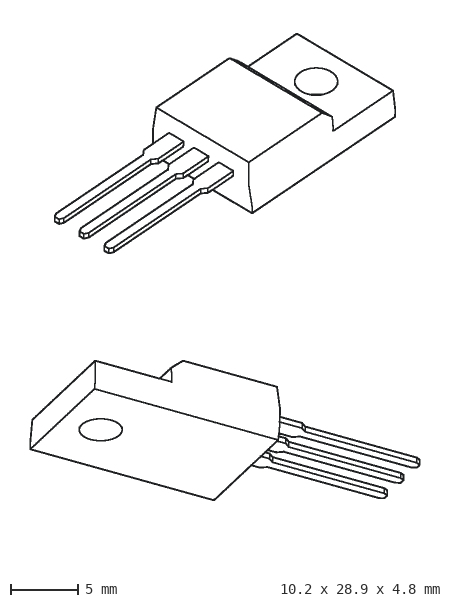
import cadquery as cq

total_length = 28.85
body_length = 15.85
body_height = 4.8

base_width = 10.05
max_width = 10.15
top_width = 9.45
widest_height = 0.7

tab_height = 2.55
tab_length = 6.64
back_draft = 0.12
chamfer_length = 1.05
chamfer_height = 0.95
parting_height = 2.77
front_base_inset = 0.23
front_top_inset = 0.17

hole_diameter = 3.2
hole_from_back = 3.25

lead_count = 3
lead_pitch = 2.55
lead_thickness = 0.45
shoulder_width = 1.5
shoulder_length = 2.75
neck_length = 0.43
lead_width = 0.8
tip_width = 0.45
tip_length = 0.35
lead_embed = 0.87

lead_length = total_length - body_length
step_y = body_length - tab_length


def make_body():
    """Intersect the side profile with the tapered cross-section."""
    side_profile = (
        cq.Workplane("YZ")
        .moveTo(front_base_inset, 0)
        .lineTo(body_length, 0)
        .lineTo(body_length - back_draft, tab_height)
        .lineTo(step_y, tab_height)
        .lineTo(step_y, body_height - chamfer_height)
        .lineTo(step_y - chamfer_length, body_height)
        .lineTo(front_top_inset, body_height)
        .lineTo(0, parting_height)
        .close()
        .extrude(max_width / 2, both=True)
    )
    cross_section = (
        cq.Workplane("XZ")
        .polyline([
            (-base_width / 2, 0),
            (base_width / 2, 0),
            (max_width / 2, widest_height),
            (top_width / 2, body_height),
            (-top_width / 2, body_height),
            (-max_width / 2, widest_height),
        ])
        .close()
        .extrude(-body_length)
    )
    return side_profile.intersect(cross_section)


def make_hole():
    """Cylinder that pierces the mounting tab."""
    return (
        cq.Workplane("XY")
        .center(0, body_length - hole_from_back)
        .circle(hole_diameter / 2)
        .extrude(tab_height)
    )


def make_lead(x):
    """Flat lead with a wide shoulder, a tapered neck and a chamfered tip."""
    right_edge = [
        (shoulder_width / 2, lead_embed),
        (shoulder_width / 2, -shoulder_length),
        (lead_width / 2, -shoulder_length - neck_length),
        (lead_width / 2, -lead_length + tip_length),
        (tip_width / 2, -lead_length),
    ]
    left_edge = [(-edge_x, edge_y) for edge_x, edge_y in reversed(right_edge)]
    return (
        cq.Workplane("XY", origin=(x, 0, parting_height))
        .polyline(right_edge + left_edge)
        .close()
        .extrude(lead_thickness)
    )


result = make_body().cut(make_hole())
for index in range(lead_count):
    lead_x = (index - (lead_count - 1) / 2) * lead_pitch
    result = result.union(make_lead(lead_x))